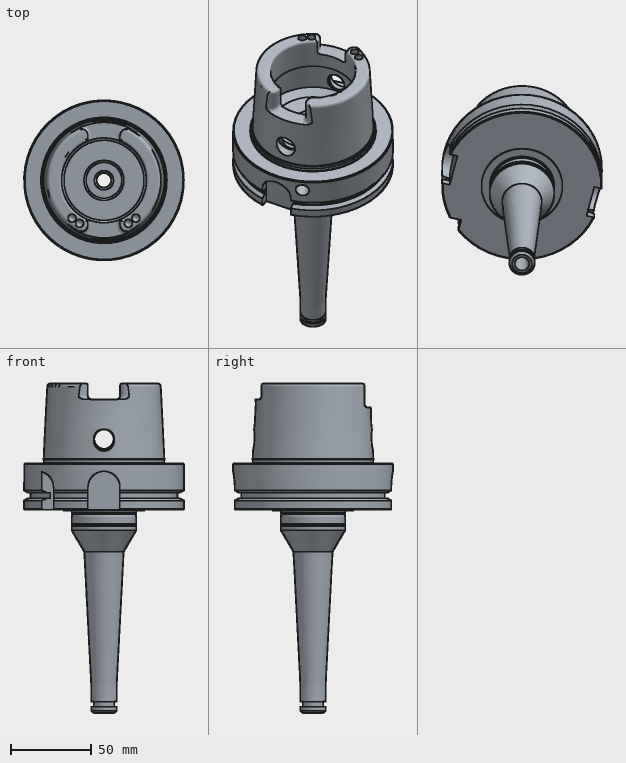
import cadquery as cq
import math


taper_height = 50.0
gauge_radius = 75.013 / 2
gauge_height = 9.0
taper_slope = 1 / 20
root_bead_radius = 38.05
root_bead_top = 3.0
root_bead_height = 2.7
root_relief_radius = 75.46 / 2
root_relief_top = 2.2
root_flare_top = 0.4
rim_outer_fillet = 2.1
rim_inner_fillet = 1.7

flange_radius = 100 / 2
flange_thickness = 29.0
flange_edge = 0.6
seat_groove_radius = 39.4
seat_groove_depth = 0.5
grip_groove_radius = 46.0
grip_groove_center = -20.0
grip_groove_shoulder_radius = 47.2
grip_groove_floor_width = 3.2
grip_groove_flank_angle = 30.0
flange_boss_radius = 25.3
flange_boss_height = 0.6

neck_radius = 40.5 / 2
neck_groove_depth = 0.3
upper_shoulder_end = -30.9
upper_groove_floor = -31.7
upper_groove_floor_end = -32.3
band_top = -33.4
band_bottom = -37.8
lower_groove_floor = -38.7
lower_groove_end = -39.3
neck_end = -41.7

cone_end = -55.0
shank_half_angle = 3.0
tip_start = -138.6
tip_radius = 16 / 2
tip_groove_top = -148.7
tip_groove_bottom = -151.9
tip_groove_radius = 13 / 2
tip_chamfer_height = 1.5
tip_end_radius = 6.2
shank_end = -156.0

bore_radius = 53 / 2
clamp_recess_radius = 63 / 2
clamp_shoulder_top = 30.0
clamp_shoulder_angle = 30.0
clamp_recess_bottom = 8.5
bore_floor = 6.0
bore_floor_radius = 25.0
pipe_thread_radius = 22.38 / 2
pipe_entry_radius = 25 / 2
pipe_seat_depth = 20.0
coolant_radius = 9 / 2
coolant_entry_radius = 12 / 2

drive_half_width = 10.0
drive_wall_offset = 32.2
drive_corner_radius = 4.5
drive_floor_fillet = 2.4
drive_rim_fillet = 1.5
front_drive_floor = 40.0
back_drive_floor = 35.0
drive_reach = 45.0

cross_hole_height = 15.2
cross_hole_radius = 12 / 2
cross_mouth_radius = 13 / 2
cross_mouth_floor = 33.8
cross_mouth_tilt = 12.0
cross_mouth_reach = 10.0

lug_hole_radius = 5 / 2
lug_hole_depth = 8.0
lug_hole_circle = 30.9
lug_hole_angles = (29.5, 40.2)
drill_tip_height = lug_hole_radius * math.tan(math.radians(30))

rim_slot_radius = 10.0
rim_slot_top = -4.9
rim_slot_floor = 44.0
notch_wall_x = -31.5
notch_wall_y = -31.4
rim_hole_radius = 8.5 / 2
rim_hole_height = -7.1
rim_hole_angle = 110.0
rim_hole_depth = 10.0


def taper_radius(z):
    return gauge_radius - (z - gauge_height) * taper_slope


def turned(points):
    """Revolve a closed (radius, z) outline about the Z axis."""
    return cq.Workplane("XZ").polyline(points).close().revolve(360, (0, 0), (0, 1))


def make_body():
    groove_half_floor = grip_groove_floor_width / 2
    groove_flank = (flange_radius - grip_groove_shoulder_radius) * math.tan(math.radians(grip_groove_flank_angle))
    neck_groove_radius = neck_radius - neck_groove_depth
    shank_top_radius = tip_radius + (cone_end - tip_start) * math.tan(math.radians(shank_half_angle))
    taper_outline = [
        (0, taper_height),
        (taper_radius(taper_height), taper_height),
        (taper_radius(root_bead_top), root_bead_top),
        (root_bead_radius, root_bead_height),
        (root_relief_radius, root_relief_top),
        (root_relief_radius, root_flare_top),
    ]
    flange_outline = [
        (root_relief_radius + root_flare_top + seat_groove_depth, -seat_groove_depth),
        (seat_groove_radius, -seat_groove_depth),
        (seat_groove_radius, 0),
        (flange_radius - flange_edge, 0),
        (flange_radius, -flange_edge),
        (flange_radius, grip_groove_center + groove_half_floor + groove_flank),
        (grip_groove_shoulder_radius, grip_groove_center + groove_half_floor),
        (grip_groove_radius, grip_groove_center + groove_half_floor),
        (grip_groove_radius, grip_groove_center - groove_half_floor),
        (grip_groove_shoulder_radius, grip_groove_center - groove_half_floor),
        (flange_radius, grip_groove_center - groove_half_floor - groove_flank),
        (flange_radius, -flange_thickness + flange_edge),
        (flange_radius - flange_edge, -flange_thickness),
        (flange_boss_radius, -flange_thickness),
        (flange_boss_radius, -flange_thickness - flange_boss_height),
    ]
    neck_outline = [
        (neck_radius, -flange_thickness - flange_boss_height),
        (neck_radius, upper_shoulder_end),
        (neck_groove_radius, upper_groove_floor),
        (neck_groove_radius, upper_groove_floor_end),
        (neck_radius, band_top),
        (neck_radius, band_bottom),
        (neck_groove_radius, lower_groove_floor),
        (neck_radius, lower_groove_end),
        (neck_radius, neck_end),
    ]
    shank_outline = [
        (shank_top_radius, cone_end),
        (tip_radius, tip_start),
        (tip_radius, tip_groove_top),
        (tip_groove_radius, tip_groove_top),
        (tip_groove_radius, tip_groove_bottom),
        (tip_radius, tip_groove_bottom),
        (tip_radius, shank_end + tip_chamfer_height),
        (tip_end_radius, shank_end),
        (0, shank_end),
    ]
    blank = turned(taper_outline + flange_outline + neck_outline + shank_outline)
    return blank.faces(">Z").edges().fillet(rim_outer_fillet)


def make_bore():
    shoulder = (clamp_recess_radius - bore_radius) * math.tan(math.radians(clamp_shoulder_angle))
    pipe_seat = bore_floor - pipe_seat_depth
    return turned([
        (0, taper_height),
        (bore_radius, taper_height),
        (bore_radius, clamp_shoulder_top),
        (clamp_recess_radius, clamp_shoulder_top - shoulder),
        (clamp_recess_radius, clamp_recess_bottom),
        (bore_floor_radius, bore_floor),
        (pipe_entry_radius, bore_floor),
        (pipe_thread_radius, bore_floor - (pipe_entry_radius - pipe_thread_radius)),
        (pipe_thread_radius, pipe_seat),
        (coolant_entry_radius, pipe_seat),
        (coolant_radius, pipe_seat - (coolant_entry_radius - coolant_radius)),
        (coolant_radius, shank_end),
        (0, shank_end),
    ])


def make_lug_template(floor):
    """Outer shape of the +X, +Y lug end: rounded nose corner and rounded rim."""
    height = taper_height - floor
    width = drive_reach
    length = drive_wall_offset + drive_reach
    lug = (
        cq.Workplane("XY", origin=(drive_half_width, drive_wall_offset - length, floor))
        .rect(width, length, centered=False)
        .extrude(height)
    )
    lug = lug.edges("|Z and <X and >Y").fillet(drive_corner_radius)
    return lug.faces(">Z").edges().fillet(drive_rim_fillet)


def make_drive_slot(floor):
    """Cutter for the +Y drive slot, down to the given floor height."""
    lug = make_lug_template(floor)
    block = (
        cq.Workplane("XY", origin=(-drive_reach, 0, floor))
        .rect(2 * drive_reach, drive_reach, centered=False)
        .extrude(taper_height - floor)
    )
    block = block.cut(lug).cut(lug.mirror("YZ"))
    return block.faces("<Z").edges().fillet(drive_floor_fillet)


def make_cross_hole():
    """Cutter along Y; each mouth widens the hole from cross_mouth_floor outward."""
    tilt = math.radians(cross_mouth_tilt)
    outward = cq.Vector(0, -math.cos(tilt), -math.sin(tilt))
    floor_center = cq.Vector(0, -cross_mouth_floor, cross_hole_height)
    mouth = cq.Workplane(
        cq.Solid.makeCylinder(cross_mouth_radius, cross_mouth_reach, floor_center, outward)
    )
    through = (
        cq.Workplane("XZ", origin=(0, 0, cross_hole_height))
        .circle(cross_hole_radius)
        .extrude(flange_radius, both=True)
    )
    return through.union(mouth).union(mouth.mirror("XZ"))


def make_lug_holes():
    drill = turned([
        (0, taper_height),
        (lug_hole_radius, taper_height),
        (lug_hole_radius, taper_height - lug_hole_depth),
        (0, taper_height - lug_hole_depth - drill_tip_height),
    ])
    holes = cq.Workplane("XY")
    for angle in lug_hole_angles:
        for side in (-1, 1):
            turn = math.radians(side * angle)
            place = (lug_hole_circle * math.sin(turn), -lug_hole_circle * math.cos(turn), 0)
            holes = holes.add(drill.translate(place))
    return holes.combine()


def make_rim_cutter(center_x, floor_y):
    """Round-topped cutter along Y, open below, reaching from the -Y rim in to floor_y."""
    length = flange_radius + floor_y
    center_z = rim_slot_top - rim_slot_radius
    drop = flange_thickness + center_z
    plane = cq.Workplane("XZ", origin=(center_x, floor_y, center_z))
    return (
        plane.moveTo(-rim_slot_radius, 0)
        .threePointArc((0, rim_slot_radius), (rim_slot_radius, 0))
        .lineTo(rim_slot_radius, -drop)
        .lineTo(-rim_slot_radius, -drop)
        .close()
        .extrude(length)
    )


def make_rim_hole():
    turn = math.radians(rim_hole_angle)
    outward = cq.Vector(math.cos(turn), math.sin(turn), 0)
    start = outward * (flange_radius - rim_hole_depth) + cq.Vector(0, 0, rim_hole_height)
    return cq.Workplane(cq.Solid.makeCylinder(rim_hole_radius, 2 * rim_hole_depth, start, outward))


holder = make_body().cut(make_bore())
holder = holder.faces(">Z").edges(cq.selectors.RadiusNthSelector(0)).fillet(rim_inner_fillet)

holder = holder.cut(make_drive_slot(back_drive_floor))
holder = holder.cut(make_drive_slot(front_drive_floor).mirror("XZ"))
holder = holder.cut(make_cross_hole())
holder = holder.cut(make_lug_holes())

rim_slot = make_rim_cutter(0, -rim_slot_floor)
holder = holder.cut(rim_slot).cut(rim_slot.mirror("XZ"))
holder = holder.cut(make_rim_cutter(notch_wall_x - rim_slot_radius, notch_wall_y))
holder = holder.cut(make_rim_hole())

result = holder